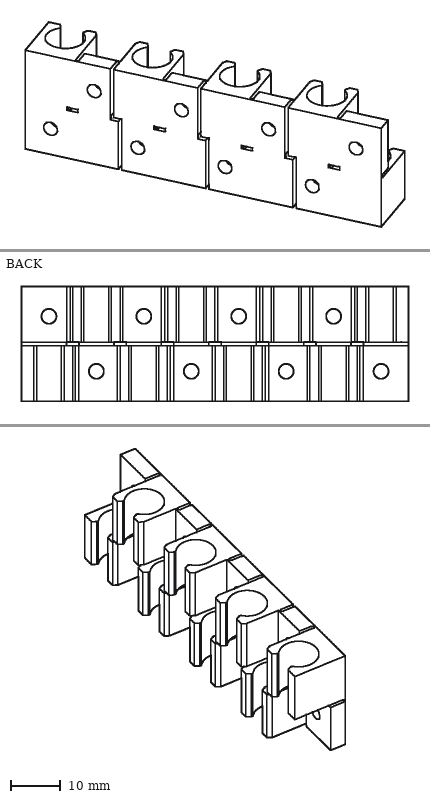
import cadquery as cq
import math

length = 77.5
depth = 12.0
height = 23.0

clip_count = 4
clip_pitch = 19.0
row_gap = 0.7
row_height = (height - row_gap) / 2
row_shift = clip_pitch / 2
row_span = (clip_count - 1) * clip_pitch + row_shift
first_clip_x = (length - row_span) / 2
clip_xs = [first_clip_x + i * clip_pitch for i in range(clip_count)]

plate_thickness = 3.5
clip_half_width = 5.3
bore_radius = 4.0
bore_y = plate_thickness + bore_radius
mouth_half_width = 2.5
bevel_depth = 0.9
bevel_angle = 30
bevel_width = bevel_depth * math.tan(math.radians(bevel_angle))

web = 0.3
groove_width = row_gap
groove_radius = groove_width / 2
groove_reach = clip_half_width + groove_width

screw_diameter = 2.95
screw_offset_z = 5.5


def box(x0, x1, y0, y1, z0, z1):
    """Box between two opposite corners."""
    return cq.Workplane("XY").box(x1 - x0, y1 - y0, z1 - z0, centered=False).translate((x0, y0, z0))


def row_plane(x=0, y=0):
    """XY workplane at the bottom of the upper row."""
    return cq.Workplane("XY", origin=(x, y, height - row_height))


def prism(points):
    """Polygon extruded over the height of the upper row."""
    return row_plane().polyline(points).close().extrude(row_height)


def clip_block(x, is_end):
    """Clip body with its outer back edges bevelled; an end clip is square and flush with the end."""
    left = 0 if is_end else x - clip_half_width
    left_bevel = 0 if is_end else bevel_width
    right = x + clip_half_width
    points = [
        (left, 0),
        (right, 0),
        (right, depth - bevel_depth),
        (right - bevel_width, depth),
        (left + left_bevel, depth),
    ]
    if not is_end:
        points.append((left, depth - bevel_depth))
    return prism(points)


def clip_opening(x):
    """Round bore with a mouth that flares out at the back."""
    flare_half_width = mouth_half_width + bevel_width
    mouth = prism([
        (x - mouth_half_width, bore_y),
        (x + mouth_half_width, bore_y),
        (x + mouth_half_width, depth - bevel_depth),
        (x + flare_half_width, depth),
        (x - flare_half_width, depth),
        (x - mouth_half_width, depth - bevel_depth),
    ])
    return row_plane(x, bore_y).circle(bore_radius).extrude(row_height).union(mouth)


def groove(x0, y_open, y_bottom):
    """Groove with a round bottom, running along Z through the upper row from its left side x0."""
    x1 = x0 + groove_width
    y_round = y_bottom + math.copysign(groove_radius, y_open - y_bottom)
    outline = row_plane().moveTo(x0, y_open).lineTo(x0, y_round)
    outline = outline.threePointArc((x0 + groove_radius, y_bottom), (x1, y_round)).lineTo(x1, y_open)
    return outline.close().extrude(row_height)


def upper_row():
    """Plate, clips, hinge grooves and screw holes of the upper row."""
    row = box(0, length, 0, plate_thickness, height - row_height, height)
    for i, x in enumerate(clip_xs):
        row = row.union(clip_block(x, i == 0)).cut(clip_opening(x))
    for i, x in enumerate(clip_xs):
        row = row.cut(groove(x + clip_half_width, depth, web))
        if i > 0:
            row = row.cut(groove(x - groove_reach, 0, plate_thickness - web))
        screw = cq.Workplane("XZ", origin=(x + row_shift, 0, height / 2 + screw_offset_z))
        row = row.cut(screw.circle(screw_diameter / 2).extrude(-plate_thickness))
    return row


def row_web():
    """Thin front web joining the rows at a round-bottomed slit, open where the upright grooves cross it."""
    bottom = row_height
    top = row_height + row_gap
    web_depth = web + groove_radius
    slit_plane = cq.Workplane("YZ", origin=(0, web_depth, height / 2))
    slit_bottom = slit_plane.circle(groove_radius).extrude(length)
    strip = box(0, length, 0, web_depth, bottom, top).cut(slit_bottom)
    for i, x in enumerate(clip_xs):
        lower_x = x + row_shift
        strip = strip.cut(box(lower_x - groove_reach, x + groove_reach, 0, web_depth, bottom, top))
        if i > 0:
            previous_lower_x = x - row_shift
            strip = strip.cut(box(x - groove_reach, previous_lower_x + groove_reach,
                                  0, web_depth, bottom, top))
    return strip


upper = upper_row()
lower = upper.rotate((length / 2, 0, height / 2), (length / 2, 1, height / 2), 180)
result = upper.union(row_web()).union(lower)